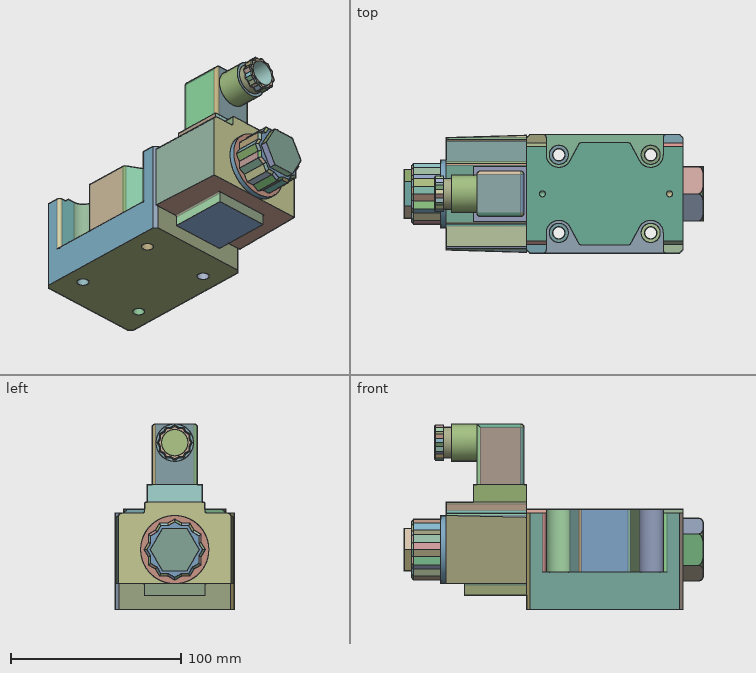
import cadquery as cq
import math


overall_length = 176

body_length = 92.0
body_width = 70.0
body_height = 59.1
body_corner_chamfer = 2.1
ear_step = 2.1
ridge_half_width = 27.8

bolt_spacing_x = 54.0
bolt_spacing_y = 46.0
bolt_hole_diameter = 7.0
spotface_diameter = 11.3
spotface_depth = 1.0
pocket_radius = 7.4
pocket_floor = 22.2
pocket_mouth_fillet = 2.1
block_half_width = 30.1
block_half_length = 14.8
block_corner_fillet = 1.8

pilot_spacing = 74.8
first_pilot_x = 9.3
pilot_diameter = 3.5
pilot_depth = 3.5
drill_tip_angle = 118

coil_length = 47.3
coil_bottom = 15.3
coil_top = 56.8
coil_outer_half_width = 33.0
coil_inner_half_width = 34.5
coil_eaves_height = 54.4
coil_ridge_height = 55.5
core_bevel_width = 1.0
core_bevel_drop = 0.4
spine_half_width = 17.8
spine_top = 63.4
spine_edge_fillet = 1.0
spine_root_fillet = 1.2
foot_length = 36.6
foot_bottom = 8.5
foot_root_fillet = 0.9

axis_height = 35.4
flange_radius = 20.0
flange_thickness = 3.2
knob_length = 17.2
knob_radius = 18.0
knob_edge_chamfer = 1.4
cap_length = 4.2
cap_flat_radius = 12.5

plug_radius = 18.5
plug_length = overall_length - body_length - coil_length - flange_thickness - knob_length - cap_length
plug_end_round = 3.0

connector_base_length = 31.3
connector_base_half_width = 16.2
connector_base_top = 73.5
connector_end = -29.2
connector_length = 27.8
connector_half_width = 13.4
connector_top = 109.3
connector_fillet = 2.1
gland_diameter = 22.0
gland_length = 15.0
gland_neck_radius = 9.2
gland_neck_length = 4.5
gland_nut_radius = 10.4
gland_nut_length = 5.5
gland_nut_chamfer = 0.7
gland_bore_diameter = 15.5

bolt_centre_x = body_length / 2
gland_axis_height = connector_top - gland_diameter / 2


def box(x_min, x_max, half_width, z_min, z_max):
    """Block centred on Y = 0."""
    return (
        cq.Workplane("XY")
        .box(x_max - x_min, 2 * half_width, z_max - z_min, centered=(False, True, False))
        .translate((x_min, 0, z_min))
    )


def end_plane(x, z):
    """Plane at x facing -X, with its origin at height z and its second axis along Z."""
    return cq.Workplane(cq.Plane(origin=(x, 0, z), xDir=(0, -1, 0), normal=(-1, 0, 0)))


def polar_points(count, radii, first_angle):
    """Evenly spaced points around the origin, cycling through the given radii."""
    points = []
    for i in range(count):
        angle = math.radians(first_angle + i * 360 / count)
        radius = radii[i % len(radii)]
        points.append((radius * math.cos(angle), radius * math.sin(angle)))
    return points


def symmetric_prism(half_outline, length):
    """Prism along -X from X = 0; its (Y, Z) outline is mirrored about Y = 0."""
    mirrored = [(-y, z) for y, z in reversed(half_outline)]
    return end_plane(0, 0).polyline(half_outline + mirrored).close().extrude(length)


def star_prism(x, z, radius, length, chamfer):
    """Twelve-pointed prism along -X, the union of two hexagons, with its free end chamfered."""
    valley_radius = radius * math.cos(math.radians(30)) / math.cos(math.radians(15))
    outline = polar_points(24, (radius, valley_radius), 0)
    return end_plane(x, z).polyline(outline).close().extrude(length).faces("<X").chamfer(chamfer)


def make_pocket():
    """Cutter for the +Y side: two round bolt recesses joined in front of the central block."""
    bolt_y = bolt_spacing_y / 2
    wall_x = bolt_spacing_x / 2 + pocket_radius
    outside_y = body_width / 2
    to_corner_x = block_half_length - bolt_spacing_x / 2
    to_corner_y = block_half_width - bolt_y
    corner_distance = math.hypot(to_corner_x, to_corner_y)
    tangent_angle = math.atan2(to_corner_y, to_corner_x) + math.acos(pocket_radius / corner_distance)
    tangent_x = bolt_spacing_x / 2 + pocket_radius * math.cos(tangent_angle)
    tangent_y = bolt_y + pocket_radius * math.sin(tangent_angle)
    lowest = (bolt_spacing_x / 2, bolt_y - pocket_radius)
    pocket = (
        cq.Workplane("XY")
        .workplane(offset=pocket_floor)
        .moveTo(-wall_x, outside_y)
        .lineTo(-wall_x, bolt_y)
        .threePointArc((-lowest[0], lowest[1]), (-tangent_x, tangent_y))
        .lineTo(-block_half_length, block_half_width)
        .lineTo(block_half_length, block_half_width)
        .lineTo(tangent_x, tangent_y)
        .threePointArc(lowest, (wall_x, bolt_y))
        .lineTo(wall_x, outside_y)
        .close()
        .extrude(body_height - pocket_floor)
    )
    return pocket.translate((bolt_centre_x, 0, 0))


def make_body():
    body = box(0, body_length, body_width / 2, 0, body_height).edges("|Z").chamfer(body_corner_chamfer)

    ear_cut = (
        cq.Workplane("YZ")
        .moveTo(ridge_half_width, body_height)
        .lineTo(ridge_half_width + ear_step, body_height - ear_step)
        .lineTo(body_width / 2, body_height - ear_step)
        .lineTo(body_width / 2, body_height)
        .close()
        .extrude(body_length)
        .cut(box(
            bolt_centre_x - bolt_spacing_x / 2,
            bolt_centre_x + bolt_spacing_x / 2,
            body_width / 2,
            0,
            body_height,
        ))
    )
    pocket = make_pocket()
    for cutter in (ear_cut, pocket):
        body = body.cut(cutter).cut(cutter.mirror("XZ"))

    mouth_x = bolt_spacing_x / 2 + pocket_radius
    rounded_edges = (
        (mouth_x, body_width / 2, pocket_mouth_fillet),
        (block_half_length, block_half_width, block_corner_fillet),
    )
    for offset_x, y, radius in rounded_edges:
        for x in (bolt_centre_x - offset_x, bolt_centre_x + offset_x):
            for side in (-1, 1):
                point = (x, side * y, (pocket_floor + body_height) / 2)
                body = body.edges("|Z").edges(cq.NearestToPointSelector(point)).fillet(radius)

    body = (
        body.copyWorkplane(cq.Workplane("XY", origin=(bolt_centre_x, 0, pocket_floor)))
        .rarray(bolt_spacing_x, bolt_spacing_y, 2, 2)
        .cboreHole(bolt_hole_diameter, spotface_diameter, spotface_depth)
    )

    pilot_radius = pilot_diameter / 2
    tip_depth = pilot_radius / math.tan(math.radians(drill_tip_angle / 2))
    drill = (
        cq.Workplane("XZ")
        .moveTo(0, body_height)
        .lineTo(pilot_radius, body_height)
        .lineTo(pilot_radius, body_height - pilot_depth)
        .lineTo(0, body_height - pilot_depth - tip_depth)
        .close()
        .revolve(360, (0, 0), (0, 1))
    )
    for x in (first_pilot_x, first_pilot_x + pilot_spacing):
        body = body.cut(drill.translate((x, 0, 0)))
    return body


def make_coil():
    plan = (
        cq.Workplane("XY")
        .polyline([
            (0, -coil_inner_half_width),
            (0, coil_inner_half_width),
            (-coil_length, coil_outer_half_width),
            (-coil_length, -coil_outer_half_width),
        ])
        .close()
        .extrude(coil_top)
    )
    shoulders = symmetric_prism(
        [
            (coil_inner_half_width, coil_bottom),
            (coil_inner_half_width, coil_eaves_height),
            (coil_outer_half_width, coil_ridge_height),
        ],
        coil_length,
    )
    core = symmetric_prism(
        [
            (coil_outer_half_width, coil_bottom),
            (coil_outer_half_width, coil_ridge_height),
            (coil_outer_half_width - core_bevel_width, coil_top - core_bevel_drop),
            (coil_outer_half_width - 2 * core_bevel_width, coil_top),
        ],
        coil_length,
    )
    coil = plan.intersect(shoulders).union(core)
    spine = box(-coil_length, 0, spine_half_width, coil_top, spine_top)
    coil = coil.union(spine.faces(">Z").edges("|X").fillet(spine_edge_fillet))
    coil = coil.union(box(-foot_length, 0, spine_half_width, foot_bottom, coil_bottom))

    roots = (
        (-coil_length / 2, coil_top, spine_root_fillet),
        (-foot_length / 2, coil_bottom, foot_root_fillet),
    )
    for x, z, radius in roots:
        for side in (-1, 1):
            point = (x, side * spine_half_width, z)
            coil = coil.edges("|X").edges(cq.NearestToPointSelector(point)).fillet(radius)
    return coil


def make_solenoid_end():
    """Flange, fluted knob and hexagon cap in front of the coil."""
    flange_end = -coil_length - flange_thickness
    knob_end = flange_end - knob_length
    cap_radius = cap_flat_radius / math.cos(math.radians(30))
    flange = end_plane(-coil_length, axis_height).circle(flange_radius).extrude(flange_thickness)
    knob = star_prism(flange_end, axis_height, knob_radius, knob_length, knob_edge_chamfer)
    cap = (
        end_plane(knob_end, axis_height)
        .polyline(polar_points(6, (cap_radius,), 0))
        .close()
        .extrude(cap_length)
    )
    return flange.union(knob).union(cap)


def make_plug():
    """Hexagon plug whose corners are rounded off at the free end."""
    plane = cq.Workplane("YZ", origin=(body_length, 0, axis_height))
    hexagon = plane.polyline(polar_points(6, (plug_radius,), 90)).close().extrude(plug_length)
    turned = plane.circle(plug_radius).extrude(plug_length).faces(">X").edges().fillet(plug_end_round)
    return hexagon.intersect(turned)


def make_connector():
    base = box(-connector_base_length, 0, connector_base_half_width, spine_top, connector_base_top)
    head = box(
        connector_end,
        connector_end + connector_length,
        connector_half_width,
        connector_base_top,
        connector_top,
    )
    head = head.edges("|Z or (>Z and |X) or (>Z and >X)").fillet(connector_fillet)

    neck_start = connector_end - gland_length
    nut_start = neck_start - gland_neck_length
    gland = (
        end_plane(connector_end + connector_fillet, gland_axis_height)
        .circle(gland_diameter / 2)
        .extrude(gland_length + connector_fillet)
    )
    neck = end_plane(neck_start, gland_axis_height).circle(gland_neck_radius).extrude(gland_neck_length)
    nut = star_prism(nut_start, gland_axis_height, gland_nut_radius, gland_nut_length, gland_nut_chamfer)
    bore_depth = gland_length + gland_neck_length + gland_nut_length
    bore = end_plane(connector_end, gland_axis_height).circle(gland_bore_diameter / 2).extrude(bore_depth)
    return base.union(head).union(gland).union(neck).union(nut).cut(bore)


result = (
    make_body()
    .union(make_coil())
    .union(make_solenoid_end())
    .union(make_plug())
    .union(make_connector())
)